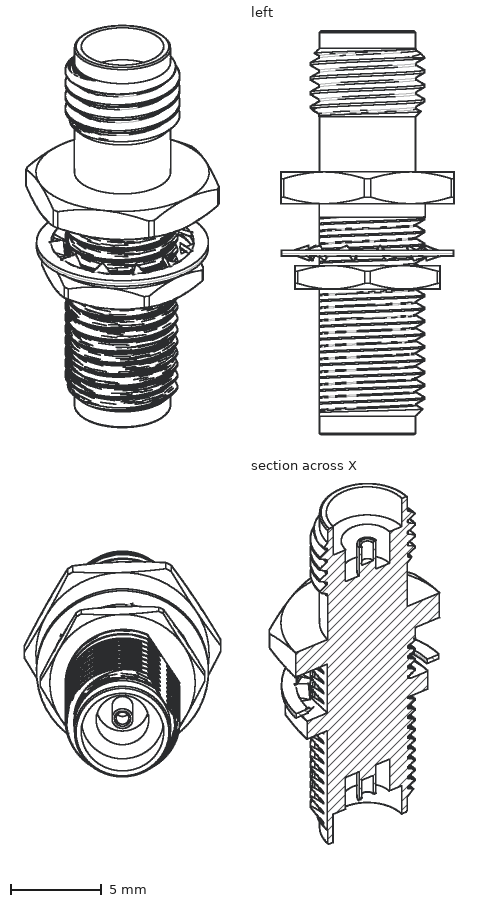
import cadquery as cq
import math

LENGTH = 22.23
BARREL_RADIUS = 2.65
END_CHAMFER = 0.1

CREST_RADIUS = 3.15
ROOT_RADIUS = 2.7
FLANK_ANGLE = 30.0
TRIM_CLEARANCE = 0.22
SPIRAL_STEPS = 12
UPPER_THREAD_BOTTOM = 17.5
UPPER_THREAD_TOP = 21.27
UPPER_CREST_HEIGHT = 19.4
UPPER_PITCH = 0.8
UPPER_CREST_WIDTH = 0.13
LOWER_THREAD_BOTTOM = 1.02
LOWER_CREST_HEIGHT = 7.14
LOWER_TURNS = 18
LOWER_TURNS_RISE = 12.7
LOWER_PITCH = LOWER_TURNS_RISE / LOWER_TURNS
LOWER_CREST_WIDTH = 0.1

FLANGE_BOTTOM = 12.72
FLANGE_TOP = 14.47
FLANGE_FLATS = 9.54
FLANGE_CORNER_DIAMETER = 10.83
COLLAR_BOTTOM = 11.98
COLLAR_RADIUS = 3.18
ANTI_ROTATION_FLAT_Y = 2.67

NUT_BOTTOM = 8.03
NUT_TOP = 9.31
NUT_FLATS = 8.0
NUT_CORNER_DIAMETER = 9.07
HEX_CHAMFER_ANGLE = 30.0

SOCKET_RADIUS = 2.27
SOCKET_DEPTH = 1.98
INNER_BORE_RADIUS = 1.45
INNER_BORE_DEPTH = 2.22
CONTACT_RADIUS = 0.58
CONTACT_RECESS = 0.22
CONTACT_HOLE_RADIUS = 0.35
CONTACT_HOLE_DEPTH = 1.33
CONTACT_HOLE_CHAMFER = 0.1

WASHER_MID_Z = 10.0
WASHER_THICKNESS = 0.33
WASHER_OUTER_RADIUS = 4.73
WASHER_INNER_RADIUS = 3.93
TOOTH_COUNT = 11
FIRST_TOOTH_ANGLE = 32.0
TOOTH_ROOT_RADIUS = 4.02
TOOTH_ROOT_WIDTH = 1.2
TOOTH_ROOT_THICKNESS = 0.31
TOOTH_TIP_RADIUS = 3.25
TOOTH_TIP_WIDTH = 0.9
TOOTH_TIP_THICKNESS = 0.27
TOOTH_TWIST = 50.0


def cylinder(radius, bottom, top):
    """Upright cylinder on the Z axis between two heights."""
    return cq.Workplane("XY").workplane(offset=bottom).circle(radius).extrude(top - bottom)


def revolved(points):
    """Solid turned about the Z axis from a closed (radius, height) outline."""
    return cq.Workplane("XZ").polyline(points).close().revolve(360, (0, 0, 0), (0, 1, 0))


def polar_point(radius, angle):
    """XY point at a radius and an angle in degrees."""
    return (radius * math.cos(math.radians(angle)), radius * math.sin(math.radians(angle)))


def spiral_points(start_radius, start_angle, end_radius, end_angle):
    """Points after the start along a spiral whose radius changes evenly with the angle."""
    fractions = [step / SPIRAL_STEPS for step in range(1, SPIRAL_STEPS + 1)]
    return [
        polar_point(
            start_radius + part * (end_radius - start_radius),
            start_angle + part * (end_angle - start_angle),
        )
        for part in fractions
    ]


def threaded_rod(bottom, top, pitch, crest_width, crest_height):
    """Solid right-handed screw; crest_height is where a crest crosses the +X side.

    The level cross-section of a screw is the same at every height, only turned. It has a crest
    arc, a root arc, and a spiral for each flank, so twisting it upward makes the thread.
    """
    degrees_per_rise = 360 / pitch
    flank_rise = (CREST_RADIUS - ROOT_RADIUS) * math.tan(math.radians(FLANK_ANGLE))
    crest_end = crest_width / 2 * degrees_per_rise
    root_end = crest_end + flank_rise * degrees_per_rise
    section = (
        cq.Workplane("XY")
        .moveTo(*polar_point(CREST_RADIUS, -crest_end))
        .threePointArc((CREST_RADIUS, 0), polar_point(CREST_RADIUS, crest_end))
        .spline(spiral_points(CREST_RADIUS, crest_end, ROOT_RADIUS, root_end), includeCurrent=True)
        .threePointArc((-ROOT_RADIUS, 0), polar_point(ROOT_RADIUS, -root_end))
        .spline(spiral_points(ROOT_RADIUS, -root_end, CREST_RADIUS, -crest_end), includeCurrent=True)
        .close()
    )
    height = top - bottom
    rod = section.twistExtrude(height, height * degrees_per_rise)
    first_crest_angle = (bottom - crest_height) * degrees_per_rise
    return rod.rotate((0, 0, 0), (0, 0, 1), first_crest_angle).translate((0, 0, bottom))


def bevel_trim(bottom, top, bevel_top):
    """Space around a thread with a 45-degree bevel at its bottom and, if asked, at its top."""
    outside = CREST_RADIUS + TRIM_CLEARANCE
    bevel = outside - BARREL_RADIUS
    outline = [(0, bottom), (BARREL_RADIUS, bottom), (outside, bottom + bevel)]
    if bevel_top:
        outline += [(outside, top - bevel), (BARREL_RADIUS, top), (0, top)]
    else:
        outline += [(outside, top + TRIM_CLEARANCE), (0, top + TRIM_CLEARANCE)]
    return revolved(outline)


def hexagon(flats, corner_diameter, bottom, top):
    """Hexagon prism with corners on the X axis, rounded corners and conical bevels."""
    height = top - bottom
    across_corners = flats / math.cos(math.radians(30))
    prism = cq.Workplane("XY").workplane(offset=bottom).polygon(6, across_corners).extrude(height)
    face_radius = flats / 2
    corner_radius = corner_diameter / 2
    drop = (corner_radius - face_radius) * math.tan(math.radians(HEX_CHAMFER_ANGLE))
    blank = revolved([
        (0, bottom),
        (face_radius, bottom),
        (corner_radius, bottom + drop),
        (corner_radius, top - drop),
        (face_radius, top),
        (0, top),
    ])
    return prism.intersect(blank)


def socket_space():
    """Material removed from the top end, leaving the hollow contact standing in the bore."""
    floor = LENGTH - SOCKET_DEPTH
    bore_floor = floor - INNER_BORE_DEPTH
    contact_tip = floor - CONTACT_RECESS
    hole_floor = contact_tip - CONTACT_HOLE_DEPTH
    return revolved([
        (0, LENGTH),
        (SOCKET_RADIUS, LENGTH),
        (SOCKET_RADIUS, floor),
        (INNER_BORE_RADIUS, floor),
        (INNER_BORE_RADIUS, bore_floor),
        (CONTACT_RADIUS, bore_floor),
        (CONTACT_RADIUS, contact_tip),
        (CONTACT_HOLE_RADIUS + CONTACT_HOLE_CHAMFER, contact_tip),
        (CONTACT_HOLE_RADIUS, contact_tip - CONTACT_HOLE_CHAMFER),
        (CONTACT_HOLE_RADIUS, hole_floor),
        (0, hole_floor),
    ])


def core():
    """Plain barrel with chamfered ends, and its collar."""
    barrel = cylinder(BARREL_RADIUS, 0, LENGTH).faces("<Z or >Z").chamfer(END_CHAMFER)
    collar = cylinder(COLLAR_RADIUS, COLLAR_BOTTOM, FLANGE_BOTTOM)
    return barrel.union(collar)


def beyond_flat():
    """Material removed along the +Y side of the lower thread and the collar."""
    size = 4 * COLLAR_RADIUS
    block = cq.Workplane("XY").box(size, size, FLANGE_BOTTOM, centered=(True, False, False))
    return block.translate((0, ANTI_ROTATION_FLAT_Y, 0))


def upper_thread():
    """Short thread above the neck, beveled at both ends."""
    rod = threaded_rod(
        UPPER_THREAD_BOTTOM, UPPER_THREAD_TOP, UPPER_PITCH, UPPER_CREST_WIDTH, UPPER_CREST_HEIGHT
    )
    return rod.intersect(bevel_trim(UPPER_THREAD_BOTTOM, UPPER_THREAD_TOP, True), clean=False)


def lower_thread():
    """Long thread that runs up to the collar, beveled at its bottom end."""
    rod = threaded_rod(
        LOWER_THREAD_BOTTOM, COLLAR_BOTTOM, LOWER_PITCH, LOWER_CREST_WIDTH, LOWER_CREST_HEIGHT
    )
    return rod.intersect(bevel_trim(LOWER_THREAD_BOTTOM, COLLAR_BOTTOM, False), clean=False)


def make_connector():
    """Double-ended connector body with its flange, nut, threads and contacts."""
    flange = hexagon(FLANGE_FLATS, FLANGE_CORNER_DIAMETER, FLANGE_BOTTOM, FLANGE_TOP)
    nut = hexagon(NUT_FLATS, NUT_CORNER_DIAMETER, NUT_BOTTOM, NUT_TOP)
    top_socket = socket_space()
    bottom_socket = top_socket.mirror("XY", (0, 0, LENGTH / 2))
    connector = lower_thread().union(core(), clean=False).cut(beyond_flat(), clean=False)
    for addition in (flange, upper_thread(), nut):
        connector = connector.union(addition, clean=False)
    for socket in (top_socket, bottom_socket):
        connector = connector.cut(socket, clean=False)
    return connector


def washer_tooth():
    """Tooth pointing inward from the ring along the X axis, its tip twisted about that axis."""
    tip = (
        cq.Workplane("YZ", origin=(TOOTH_TIP_RADIUS, 0, 0))
        .rect(TOOTH_TIP_WIDTH, TOOTH_TIP_THICKNESS)
        .val()
        .rotate(cq.Vector(0, 0, 0), cq.Vector(1, 0, 0), -TOOTH_TWIST)
    )
    root = (
        cq.Workplane("YZ", origin=(TOOTH_ROOT_RADIUS, 0, 0))
        .rect(TOOTH_ROOT_WIDTH, TOOTH_ROOT_THICKNESS)
        .val()
    )
    return cq.Solid.makeLoft([tip, root], True)


def make_washer():
    """Flat ring with evenly spaced twisted teeth."""
    ring = (
        cq.Workplane("XY")
        .circle(WASHER_OUTER_RADIUS)
        .circle(WASHER_INNER_RADIUS)
        .extrude(WASHER_THICKNESS / 2, both=True)
    )
    tooth = washer_tooth()
    angles = [FIRST_TOOTH_ANGLE + index * 360 / TOOTH_COUNT for index in range(TOOTH_COUNT)]
    for angle in angles:
        ring = ring.union(cq.Workplane(tooth.rotate((0, 0, 0), (0, 0, 1), angle)))
    return ring.translate((0, 0, WASHER_MID_Z))


connector = make_connector()
lock_washer = make_washer()
result = cq.Compound.makeCompound([*connector.solids().vals(), *lock_washer.solids().vals()])